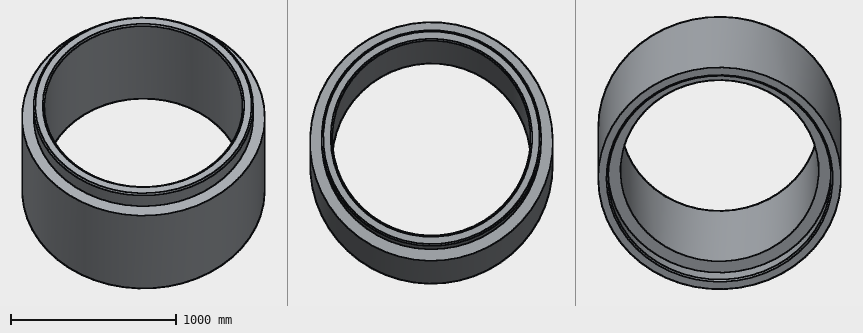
import cadquery as cq

outer_radius = 735.0
total_height = 875.0
bore_radius = 600.0

spigot_radius = 665.0
spigot_height = 120.0
spigot_chamfer = 10.0
bore_chamfer = 10.0

socket_radius = 675.0
socket_depth = 113.0
mouth_chamfer = 10.0

shoulder_z = total_height - spigot_height


def body():
    """Outer cylinder with the spigot standing on its shoulder."""
    barrel = cq.Workplane("XY").circle(outer_radius).extrude(shoulder_z)
    spigot = (
        cq.Workplane("XY")
        .workplane(offset=shoulder_z)
        .circle(spigot_radius)
        .extrude(spigot_height)
        .faces(">Z")
        .chamfer(spigot_chamfer)
    )
    return barrel.union(spigot)


def bore_cutter():
    """Straight through bore, flared by a chamfer at the spigot end."""
    bore = cq.Workplane("XY").circle(bore_radius).extrude(total_height)
    return bore.union(flare(bore_radius, bore_chamfer, total_height, -1))


def socket_cutter():
    """Round recess open at the underside, flared by a chamfer at its mouth."""
    recess = cq.Workplane("XY").circle(socket_radius).extrude(socket_depth)
    return recess.union(flare(socket_radius, mouth_chamfer, 0, 1))


def flare(hole_radius, chamfer, face_z, inward):
    """Cone that chamfers a round hole at face_z; inward (+1 or -1) points along Z into the part."""
    return cq.Workplane("XY").add(
        cq.Solid.makeCone(
            hole_radius + chamfer,
            hole_radius,
            chamfer,
            pnt=cq.Vector(0, 0, face_z),
            dir=cq.Vector(0, 0, inward),
        )
    )


result = body().cut(bore_cutter()).cut(socket_cutter())